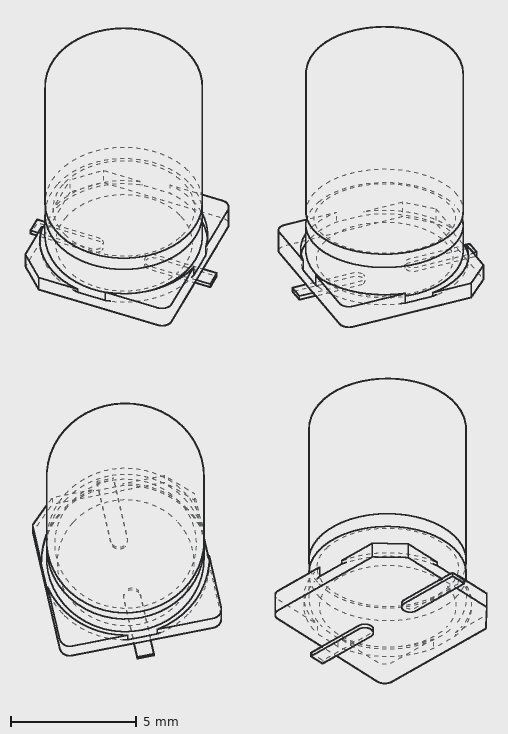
import cadquery as cq

total_height = 9.9
base_width = 6.6
lead_span = 7.8

lead_thickness = 0.18
lead_width = 0.68
lead_inner_gap = 1.82

floor_z = 0.69
low_top_z = 0.86
high_top_z = 1.16
seat_radius = 3.36
step_x = (seat_radius**2 - (base_width / 2) ** 2) ** 0.5
corner_chamfer = 1.01
corner_radius = 0.42

can_radius = 6.3 / 2
rim_radius = 0.42
groove_z = 2.63
groove_radius = 0.32


def make_base():
    """Plate with two cut corners, a raised +X side and a round seat for the can."""
    plate = (
        cq.Workplane("XY", origin=(0, 0, lead_thickness))
        .rect(base_width, base_width)
        .extrude(high_top_z - lead_thickness)
    )
    plate = plate.edges("|Z and <X").chamfer(corner_chamfer)
    plate = plate.edges("|Z and >X").fillet(corner_radius)
    half_width = base_width / 2
    low_side = cq.Workplane("XY", origin=(0, 0, low_top_z)).box(
        half_width + step_x, base_width, high_top_z - low_top_z, centered=(False, True, False)
    )
    seat = cq.Workplane("XY", origin=(0, 0, floor_z)).circle(seat_radius).extrude(high_top_z - floor_z)
    return plate.cut(low_side.translate((-half_width, 0, 0))).cut(seat)


def make_can():
    """Solid can with rounded rims and a half-round groove near the bottom."""
    can = (
        cq.Workplane("XY", origin=(0, 0, floor_z))
        .circle(can_radius)
        .extrude(total_height - floor_z)
        .faces("<Z or >Z")
        .edges()
        .fillet(rim_radius)
    )
    groove = cq.Workplane("XY").add(
        cq.Solid.makeTorus(can_radius, groove_radius, cq.Vector(0, 0, groove_z))
    )
    return can.cut(groove)


def make_lead(side):
    """Flat lead under the base with a fully rounded inner end; side is -1 or +1."""
    end_radius = lead_width / 2
    outer_x = side * lead_span / 2
    tip_x = side * lead_inner_gap / 2
    straight_x = tip_x + side * end_radius
    return (
        cq.Workplane("XY")
        .moveTo(outer_x, -end_radius)
        .lineTo(straight_x, -end_radius)
        .threePointArc((tip_x, 0), (straight_x, end_radius))
        .lineTo(outer_x, end_radius)
        .close()
        .extrude(lead_thickness)
    )


result = make_base().union(make_can())
for side in (-1, 1):
    result = result.union(make_lead(side))